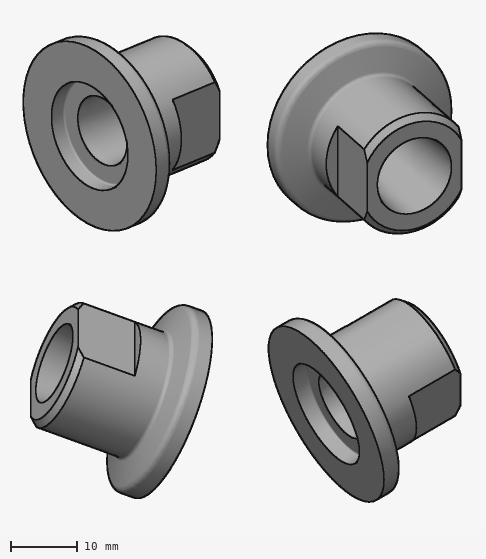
import cadquery as cq
import math

flange_radius = 15.0
length = 19.1
body_radius = flange_radius * 2 / 3

back_angle = math.radians(15)
cone_foot_y = 4.35
rim_fillet = 1.0
neck_fillet = 0.57

end_chamfer = 1.0
flat_spacing = 16.05
flat_length = 9.55

recess_radius = 8.6
recess_depth = 2.58
recess_fillet = 0.3
bore_radius = 5.55
bore_straight_length = 1.55
bore_end_radius = 6.3


def turned(points):
    """Revolve a closed (radius, y) outline about the Y axis."""
    outline = cq.Workplane("XY").polyline(points).close()
    return outline.revolve(360, (0, 0, 0), (0, 1, 0))


def ring_at(radius, y):
    """Select the circular edges around a point on the turned profile."""
    tolerance = 0.03
    return cq.selectors.BoxSelector(
        (-radius - tolerance, y - tolerance, -radius - tolerance),
        (radius + tolerance, y + tolerance, radius + tolerance),
        boundingbox=True,
    )


rim_corner_y = cone_foot_y - (flange_radius - body_radius) * math.tan(back_angle)
result = turned([
    (0, 0),
    (flange_radius, 0),
    (flange_radius, rim_corner_y),
    (body_radius, cone_foot_y),
    (body_radius, length - end_chamfer),
    (body_radius - end_chamfer, length),
    (0, length),
])
result = result.edges(ring_at(flange_radius, rim_corner_y)).fillet(rim_fillet)
result = result.edges(ring_at(body_radius, cone_foot_y)).fillet(neck_fillet)

flat_depth = body_radius - flat_spacing / 2
for side in (-1, 1):
    flat_cut = cq.Workplane("XY").box(flat_depth, flat_length, 2 * body_radius).translate(
        (side * (flat_spacing + flat_depth) / 2, length - flat_length / 2, 0)
    )
    result = result.cut(flat_cut)

recess = turned([(0, 0), (recess_radius, 0), (recess_radius, recess_depth), (0, recess_depth)])
result = result.cut(recess.faces(">Y").edges().fillet(recess_fillet))

taper_start_y = recess_depth + bore_straight_length
result = result.cut(turned([
    (0, 0),
    (bore_radius, 0),
    (bore_radius, taper_start_y),
    (bore_end_radius, length),
    (0, length),
]))